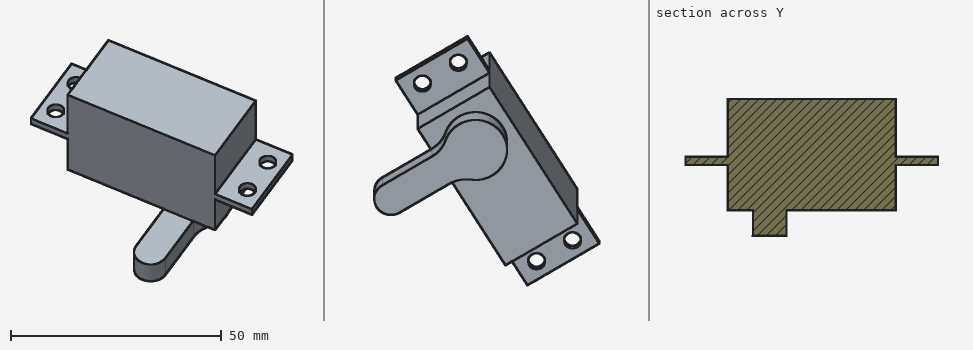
import cadquery as cq
import math

body_length = 40.0
body_width = 20.0
body_height = 26.5

flange_length = 60.0
flange_thickness = 2.0
flange_bottom = 10.8
hole_diameter = 4.0
hole_spacing_x = 52.0
hole_spacing_y = 10.0

horn_thickness = 6.0
hub_x = 10.0
hub_radius = 7.5
arm_half_width = 4.0
arm_tip_reach = 27.5
blend_radius = 7.5


def make_body():
    return cq.Workplane("XY").box(body_length, body_width, body_height, centered=(True, True, False))


def make_flange():
    plate = (
        cq.Workplane("XY")
        .workplane(offset=flange_bottom)
        .box(flange_length, body_width, flange_thickness, centered=(True, True, False))
    )
    return (
        plate.faces(">Z")
        .workplane()
        .rect(hole_spacing_x, hole_spacing_y, forConstruction=True)
        .vertices()
        .hole(hole_diameter)
    )


def make_horn():
    """Horn outline about the hub axis, with the arm pointing toward -Y."""
    blend_x = arm_half_width + blend_radius
    center_distance = hub_radius + blend_radius
    blend_y = -math.sqrt(center_distance**2 - blend_x**2)
    hub_share = hub_radius / center_distance
    tangent_x = blend_x * hub_share
    tangent_y = blend_y * hub_share

    hub_direction = math.atan2(-blend_y, -blend_x)
    middle_angle = (hub_direction + math.pi) / 2
    middle_x = blend_x + blend_radius * math.cos(middle_angle)
    middle_y = blend_y + blend_radius * math.sin(middle_angle)

    tip_center_y = arm_half_width - arm_tip_reach

    outline = (
        cq.Workplane("XY", origin=(hub_x, 0, 0))
        .moveTo(tangent_x, tangent_y)
        .threePointArc((0, hub_radius), (-tangent_x, tangent_y))
        .threePointArc((-middle_x, middle_y), (-arm_half_width, blend_y))
        .lineTo(-arm_half_width, tip_center_y)
        .threePointArc((0, -arm_tip_reach), (arm_half_width, tip_center_y))
        .lineTo(arm_half_width, blend_y)
        .threePointArc((middle_x, middle_y), (tangent_x, tangent_y))
        .close()
    )
    return outline.extrude(-horn_thickness)


result = make_body().union(make_flange()).union(make_horn())